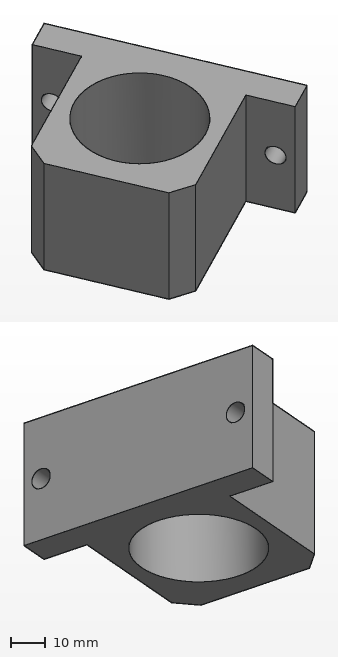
import cadquery as cq

flange_width = 80.0
depth = 58.0
height = 40.0

flange_thickness = 10.0
body_width = 50.0
corner_chamfer = 6.0

bore_diameter = 40.0
bore_to_back = flange_thickness + bore_diameter / 2

mount_hole_diameter = 6.4
mount_hole_to_edge = 6.0
mount_hole_x = flange_width / 2 - mount_hole_to_edge

flange = cq.Workplane("XY").box(
    flange_width, flange_thickness, height, centered=(True, False, False)
).translate((0, -flange_thickness, 0))

body = (
    cq.Workplane("XY")
    .box(body_width, depth, height, centered=(True, False, False))
    .translate((0, -depth, 0))
    .faces("<Y")
    .edges("|Z")
    .chamfer(corner_chamfer)
)

bore = cq.Workplane("XY").center(0, -bore_to_back).circle(bore_diameter / 2).extrude(height)

mount_holes = (
    cq.Workplane("XZ")
    .pushPoints([(-mount_hole_x, height / 2), (mount_hole_x, height / 2)])
    .circle(mount_hole_diameter / 2)
    .extrude(flange_thickness)
)

result = flange.union(body).cut(bore).cut(mount_holes)